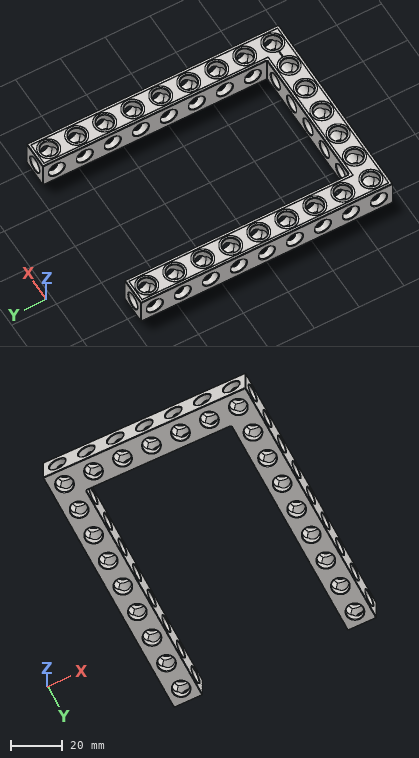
import cadquery as cq

length = 112.5
columns = 7
rows = 9
pitch = length / rows
width = columns * pitch
bar_size = pitch

hole_diameter = 7.0
edge_chamfer = 0.3
hole_chamfer = edge_chamfer

panel_depth = 0.2
rim_width = 1.2
hole_rim_diameter = 9.2

rib_width = 0.3

column_places = [(column - (columns - 1) / 2) * pitch for column in range(columns)]
row_places = [(row - (rows - 1) / 2) * pitch for row in range(rows)]
arm_places = [column_places[0], column_places[-1]]
cross_bar_place = row_places[0]
top_z = bar_size / 2

hole_places = [(x, cross_bar_place) for x in column_places]
hole_places += [(x, y) for x in arm_places for y in row_places[1:]]


def u_prism(inset, bottom, depth):
    """Upright prism over the U outline moved inwards by the inset."""
    outer_x = width / 2 - inset
    inner_x = width / 2 - bar_size + inset
    end_y = length / 2 - inset
    base_y = -length / 2 + inset
    inner_y = -length / 2 + bar_size - inset
    right_half = [(outer_x, base_y), (outer_x, end_y), (inner_x, end_y), (inner_x, inner_y)]
    left_half = [(-x, y) for x, y in reversed(right_half)]
    return cq.Workplane("XY", origin=(0, 0, bottom)).polyline(right_half + left_half).close().extrude(depth)


def hole_cutter(depth):
    """Upright cutter, centred on the origin, for a through hole chamfered at both mouths."""
    radius = hole_diameter / 2
    mouth_radius = radius + hole_chamfer
    end = depth / 2
    neck = end - hole_chamfer
    profile = [
        (0, -end),
        (mouth_radius, -end),
        (radius, -neck),
        (radius, neck),
        (mouth_radius, end),
        (0, end),
    ]
    return cq.Workplane("XZ").polyline(profile).close().revolve(360, (0, 0), (0, 1))


def along_x(cutter):
    return cutter.rotate((0, 0, 0), (0, 1, 0), 90)


def along_y(cutter):
    return cutter.rotate((0, 0, 0), (1, 0, 0), 90)


def top_panel():
    """Cutter for the panel: the inset outline without the hole rims and the rib."""
    panel_floor = top_z - panel_depth
    plane = cq.Workplane("XY", origin=(0, 0, panel_floor))
    hole_rims = plane.pushPoints(hole_places).circle(hole_rim_diameter / 2).extrude(panel_depth)
    rib_centre = (column_places[-1] - pitch / 2, cross_bar_place)
    rib = plane.center(*rib_centre).rect(pitch, rib_width).extrude(panel_depth)
    return u_prism(rim_width, panel_floor, panel_depth).cut(hole_rims).cut(rib)


frame = u_prism(0, -bar_size / 2, bar_size).edges().chamfer(edge_chamfer)
frame = frame.cut(top_panel())

short_cutter = hole_cutter(bar_size)
for x, y in hole_places:
    frame = frame.cut(short_cutter.translate((x, y, 0)))

for x in arm_places:
    for y in row_places[1:]:
        frame = frame.cut(along_x(short_cutter).translate((x, y, 0)))
for x in column_places[1:-1]:
    frame = frame.cut(along_y(short_cutter).translate((x, cross_bar_place, 0)))

frame = frame.cut(along_x(hole_cutter(width)).translate((0, cross_bar_place, 0)))
for x in arm_places:
    frame = frame.cut(along_y(hole_cutter(length)).translate((x, 0, 0)))

result = frame